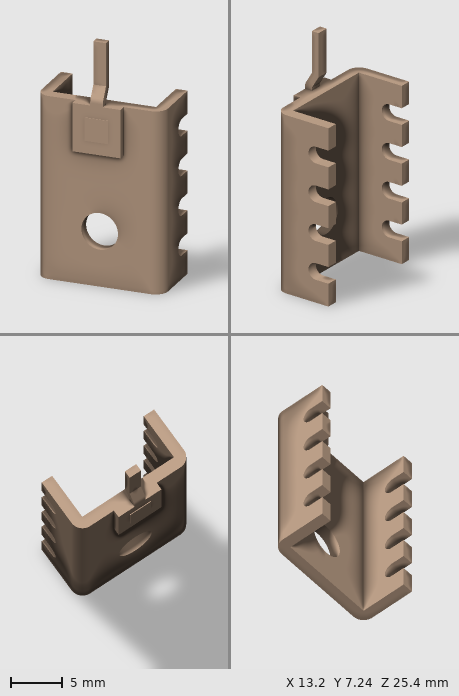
import cadquery as cq
import math

CHANNEL_WIDTH = 13.2
CHANNEL_DEPTH = 6.35
CHANNEL_HEIGHT = 19.02
WALL = 1.22
BEND_RADIUS = 1.3

HOLE_DIAMETER = 3.8
HOLE_Z = 5.75

SLOT_COUNT = 4
SLOT_WIDTH = 1.78
SLOT_DEPTH = 2.4
SLOT_PITCH = 4.15
FIRST_SLOT_Z = 3.33

PAD_SIZE = 5.03
STRIP_THICKNESS = 0.81
BOSS_SIZE = 2.41
BOSS_HEIGHT = 0.08

OVERALL_HEIGHT = 25.4
TAIL_WIDTH = 1.32
TAIL_OFFSET = STRIP_THICKNESS
TAIL_SLOPE_DEG = 31.0
NECK_HEIGHT = 0.3
NECK_BEND_RADIUS = 0.86

PAD_FACE_Y = -STRIP_THICKNESS
PAD_CENTRE_Z = CHANNEL_HEIGHT - PAD_SIZE / 2


def make_channel():
    """U-shaped channel with rounded outer bends, a web hole and edge slots."""
    channel = (
        cq.Workplane("XY")
        .rect(CHANNEL_WIDTH, CHANNEL_DEPTH)
        .extrude(CHANNEL_HEIGHT)
        .translate((0, CHANNEL_DEPTH / 2, 0))
        .edges("|Z and <Y")
        .fillet(BEND_RADIUS)
    )
    inside = (
        cq.Workplane("XY")
        .rect(CHANNEL_WIDTH - 2 * WALL, CHANNEL_DEPTH)
        .extrude(CHANNEL_HEIGHT)
        .translate((0, WALL + CHANNEL_DEPTH / 2, 0))
    )
    hole = (
        cq.Workplane("XZ")
        .center(0, HOLE_Z)
        .circle(HOLE_DIAMETER / 2)
        .extrude(-WALL)
    )
    channel = channel.cut(inside).cut(hole)
    for index in range(SLOT_COUNT):
        channel = channel.cut(make_slot_cutter(FIRST_SLOT_Z + index * SLOT_PITCH))
    return channel


def make_slot_cutter(centre_z):
    """Round-ended slot running through both side walls at one height."""
    radius = SLOT_WIDTH / 2
    tip_y = CHANNEL_DEPTH - SLOT_DEPTH
    return (
        cq.Workplane("YZ")
        .moveTo(CHANNEL_DEPTH, centre_z - radius)
        .lineTo(tip_y + radius, centre_z - radius)
        .threePointArc((tip_y, centre_z), (tip_y + radius, centre_z + radius))
        .lineTo(CHANNEL_DEPTH, centre_z + radius)
        .close()
        .extrude(CHANNEL_WIDTH / 2, both=True)
    )


def make_pad():
    """Square plate with a low square boss centred on its outer face."""
    plate = (
        cq.Workplane("XZ")
        .center(0, PAD_CENTRE_Z)
        .rect(PAD_SIZE, PAD_SIZE)
        .extrude(STRIP_THICKNESS)
    )
    boss = (
        cq.Workplane("XZ", origin=(0, PAD_FACE_Y, 0))
        .center(0, PAD_CENTRE_Z)
        .rect(BOSS_SIZE, BOSS_SIZE)
        .extrude(BOSS_HEIGHT)
    )
    return plate.union(boss)


def make_tail():
    """Strip with a rounded bend above the pad, a slope and an upright end."""
    slope = math.radians(TAIL_SLOPE_DEG)

    bend_start_z = CHANNEL_HEIGHT + NECK_HEIGHT
    bend_centre_y = PAD_FACE_Y + NECK_BEND_RADIUS

    def bend_point(angle):
        return (
            bend_centre_y - NECK_BEND_RADIUS * math.cos(angle),
            bend_start_z + NECK_BEND_RADIUS * math.sin(angle),
        )

    bend_end_y, bend_end_z = bend_point(slope)

    front_y = PAD_FACE_Y + TAIL_OFFSET
    back_y = front_y + STRIP_THICKNESS
    front_corner_z = bend_end_z + (front_y - bend_end_y) / math.tan(slope)
    fold_shift = STRIP_THICKNESS * math.tan(slope / 2)
    back_corner_z = front_corner_z - fold_shift
    back_fold_z = back_corner_z - TAIL_OFFSET / math.tan(slope)

    return (
        cq.Workplane("YZ")
        .moveTo(0, CHANNEL_HEIGHT)
        .lineTo(PAD_FACE_Y, CHANNEL_HEIGHT)
        .lineTo(PAD_FACE_Y, bend_start_z)
        .threePointArc(bend_point(slope / 2), (bend_end_y, bend_end_z))
        .lineTo(front_y, front_corner_z)
        .lineTo(front_y, OVERALL_HEIGHT)
        .lineTo(back_y, OVERALL_HEIGHT)
        .lineTo(back_y, back_corner_z)
        .lineTo(0, back_fold_z)
        .close()
        .extrude(TAIL_WIDTH / 2, both=True)
    )


channel = make_channel()
pad = make_pad()
tail = make_tail()

result = cq.Compound.makeCompound([channel.val(), pad.val(), tail.val()])